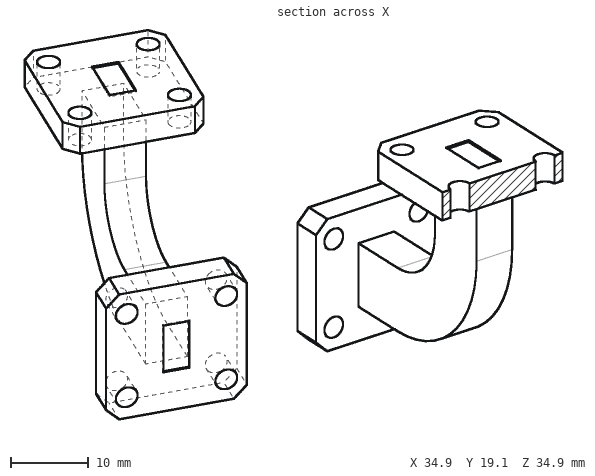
import cadquery as cq

FLANGE_SIZE = 19.05
FLANGE_THICKNESS = 4.1
CORNER_CHAMFER = 1.78
HOLE_DIAMETER = 2.95
HOLE_SPACING_IN_PLANE = 12.7
HOLE_SPACING_ACROSS = 13.46

TUBE_HEIGHT = 9.14
TUBE_WIDTH = 5.64
BEND_RADIUS = 12.7
ARM_LENGTH = 25.4

WINDOW_HEIGHT = 7.11
WINDOW_WIDTH = 3.56
WINDOW_DEPTH = 0.25

TOP_FACE = cq.Plane(origin=(0, 0, ARM_LENGTH), xDir=(1, 0, 0), normal=(0, 0, 1))
SIDE_FACE = cq.Plane(origin=(ARM_LENGTH, 0, 0), xDir=(0, 0, 1), normal=(1, 0, 0))


def make_flange(face):
    """Square flange with chamfered corners and four through holes, behind its outer face."""
    return (
        cq.Workplane(face)
        .rect(FLANGE_SIZE, FLANGE_SIZE)
        .extrude(-FLANGE_THICKNESS)
        .edges(cq.selectors.ParallelDirSelector(face.zDir))
        .chamfer(CORNER_CHAMFER)
        .copyWorkplane(cq.Workplane(face))
        .rect(HOLE_SPACING_IN_PLANE, HOLE_SPACING_ACROSS, forConstruction=True)
        .vertices()
        .hole(HOLE_DIAMETER)
    )


def make_window(face):
    """Shallow rectangular recess to cut from the middle of a flange face."""
    return cq.Workplane(face).rect(WINDOW_HEIGHT, WINDOW_WIDTH).extrude(-WINDOW_DEPTH)


def make_tube():
    """Rectangular tube body: two straight arms joined by a quarter-circle bend."""
    arm_end = ARM_LENGTH - FLANGE_THICKNESS
    straight_length = arm_end - BEND_RADIUS
    path = (
        cq.Workplane("XZ")
        .moveTo(0, arm_end)
        .line(0, -straight_length)
        .radiusArc((BEND_RADIUS, 0), -BEND_RADIUS)
        .line(straight_length, 0)
    )
    return (
        cq.Workplane("XY", origin=(0, 0, arm_end))
        .rect(TUBE_HEIGHT, TUBE_WIDTH)
        .sweep(path)
    )


result = make_tube()
for flange_face in (TOP_FACE, SIDE_FACE):
    result = result.union(make_flange(flange_face)).cut(make_window(flange_face))